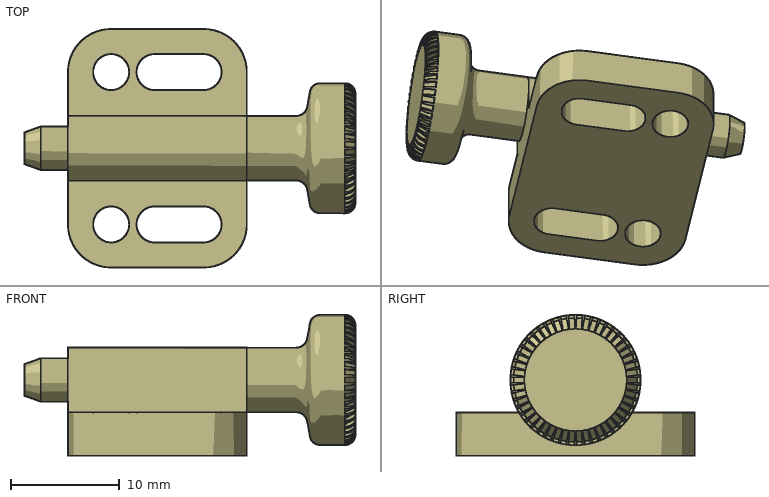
import cadquery as cq
import math

overall_length = 30.5
tip_taper_length = 1.5
pin_projection = 4.0
base_length = 16.5
base_end = pin_projection + base_length
neck_start = 25.05

base_width = 22.0
base_height = 4.0
base_corner_radius = 4.0
axis_height = 6.98
boss_radius = 3.0

hole_diameter = 3.3
hole_edge_distance = 4.0
row_offset = 7.0
slot_center_spacing = 4.5

pin_radius = 2.0
taper_angle = math.radians(20)
tip_radius = pin_radius - tip_taper_length * math.tan(taper_angle)
knob_radius = 6.0
knob_blend_radius = 1.0
knob_face_slope = math.radians(10)

groove_count = 50
groove_width = 0.52
groove_depth = 0.3
knurl_start = overall_length - knob_blend_radius


def make_base_plate():
    return (
        cq.Workplane("XY")
        .box(base_length, base_width, base_height, centered=(False, True, False))
        .edges("|Z")
        .fillet(base_corner_radius)
        .translate((pin_projection, 0, 0))
    )


def make_boss():
    """Round-topped rib that carries the pin bore."""
    return (
        cq.Workplane("YZ", origin=(pin_projection, 0, 0))
        .moveTo(-boss_radius, 0)
        .lineTo(-boss_radius, axis_height)
        .threePointArc((0, axis_height + boss_radius), (boss_radius, axis_height))
        .lineTo(boss_radius, 0)
        .close()
        .extrude(base_length)
    )


def make_housing():
    hole_x = pin_projection + hole_edge_distance
    slot_end_x = base_end - hole_edge_distance
    slot_center_x = slot_end_x - slot_center_spacing / 2
    row_ys = (-row_offset, row_offset)
    holes = (
        cq.Workplane("XY")
        .pushPoints([(hole_x, y) for y in row_ys])
        .circle(hole_diameter / 2)
        .extrude(base_height)
    )
    slots = (
        cq.Workplane("XY")
        .pushPoints([(slot_center_x, y) for y in row_ys])
        .slot2D(slot_center_spacing + hole_diameter, hole_diameter)
        .extrude(base_height)
    )
    bore = (
        cq.Workplane("YZ", origin=(pin_projection, 0, axis_height))
        .circle(pin_radius)
        .extrude(base_length)
    )
    return make_base_plate().union(make_boss()).cut(holes).cut(slots).cut(bore)


def make_plunger_blank():
    """Revolve the pin, shaft, flared neck and knob about the pin axis."""
    blend = knob_blend_radius
    sweep = math.pi / 2 - knob_face_slope
    blend_length = blend * math.sin(sweep)
    blend_rise = blend * (1 - math.cos(sweep))
    mid_length = blend * math.sin(sweep / 2)
    mid_rise = blend * (1 - math.cos(sweep / 2))
    rear_mid = blend * (1 - math.sqrt(0.5))

    neck_end = neck_start + blend_length
    neck_radius = boss_radius + blend_rise
    face_radius = knob_radius - blend_rise
    face_end = neck_end + (face_radius - neck_radius) * math.tan(knob_face_slope)
    rim_start = face_end + blend_length

    profile = (
        cq.Workplane("XY")
        .moveTo(0, 0)
        .lineTo(0, tip_radius)
        .lineTo(tip_taper_length, pin_radius)
        .lineTo(base_end, pin_radius)
        .lineTo(base_end, boss_radius)
        .lineTo(neck_start, boss_radius)
        .threePointArc((neck_start + mid_length, boss_radius + mid_rise), (neck_end, neck_radius))
        .lineTo(face_end, face_radius)
        .threePointArc((rim_start - mid_length, knob_radius - mid_rise), (rim_start, knob_radius))
        .lineTo(knurl_start, knob_radius)
        .threePointArc(
            (overall_length - rear_mid, knob_radius - rear_mid),
            (overall_length, knob_radius - blend),
        )
        .lineTo(overall_length, 0)
        .close()
    )
    return profile.revolve(360, (0, 0, 0), (1, 0, 0)).translate((0, 0, axis_height))


def make_knurl_cutters():
    """Square-sided grooves with 45 degree floors across the rounded rear edge."""
    front_floor_radius = knob_radius - groove_depth
    rear_floor_radius = front_floor_radius - knob_blend_radius
    cutter_end = overall_length + groove_width
    cutter_top = knob_radius + groove_width
    cutter = (
        cq.Workplane("XZ", origin=(0, groove_width / 2, 0))
        .moveTo(knurl_start, front_floor_radius)
        .lineTo(overall_length, rear_floor_radius)
        .lineTo(cutter_end, rear_floor_radius)
        .lineTo(cutter_end, cutter_top)
        .lineTo(knurl_start, cutter_top)
        .close()
        .extrude(groove_width)
        .rotate((0, 0, 0), (1, 0, 0), 90)
    )
    pitch_angle = 360 / groove_count
    cutters = []
    for index in range(groove_count):
        turned = cutter.rotate((0, 0, 0), (1, 0, 0), index * pitch_angle)
        cutters.append(turned.translate((0, 0, axis_height)).val())
    return cq.Compound.makeCompound(cutters)


def make_plunger():
    return make_plunger_blank().cut(cq.Workplane(make_knurl_cutters()))


housing = make_housing()
plunger = make_plunger()
result = cq.Compound.makeCompound([housing.val(), *plunger.vals()])